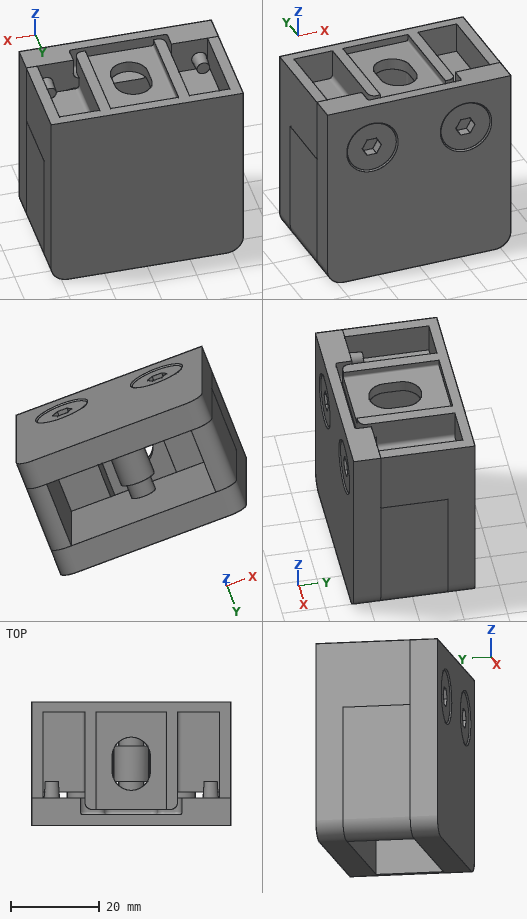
import cadquery as cq


WIDTH = 45.0
DEPTH = 28.0
HEIGHT = 45.0
CORNER_RADIUS = 4.0

COVER_THICKNESS = 6.25
BACK_SLAB = 6.25
GAP_HEIGHT = 30.0
SIDE_WALL = 2.55
SIDE_PLATE_THICKNESS = 5.0
REAR_WALL = 2.35
INNER_HALF_WIDTH = WIDTH / 2 - SIDE_WALL
SLAB_FRONT_Y = DEPTH - BACK_SLAB
POCKET_BACK_Y = DEPTH - REAR_WALL
BLOCK_FRONT_Y = 7.6

POCKET_DEPTH = 7.2
POCKET_FLOOR_Z = HEIGHT - POCKET_DEPTH
POCKET_FILLET = 1.0

TONGUE_HALF_WIDTH = 10.5
TONGUE_FRONT_Y = 3.65
TONGUE_CORNER = 1.65
CHANNEL_HALF_WIDTH = 7.95
CHANNEL_DEPTH = 1.65
CHANNEL_FILLET = 0.45
PLATE_THICKNESS = 2.7
PLATE_TOP_Z = HEIGHT - CHANNEL_DEPTH
PLATE_BOTTOM_Z = PLATE_TOP_Z - PLATE_THICKNESS
CAVITY_FILLET = 0.55
OVAL_WIDTH = 8.55
OVAL_LENGTH = 12.0

RECESS_HALF_WIDTH = 11.48
RECESS_BACK_Y = 2.48
TONGUE_CLEARANCE = 1.0
RECESS_LEDGE_Z = PLATE_BOTTOM_Z - TONGUE_CLEARANCE
RECESS_RADIUS = 1.58
RECESS_STEP_X = 6.0
RECESS_BACK_FILLET = 0.6

PEG_X = 17.95
PEG_BASE_RADIUS = 1.75
PEG_TIP_RADIUS = 1.5
PEG_LENGTH = 3.75
PEG_Z = POCKET_FLOOR_Z + PEG_BASE_RADIUS

SCREW_X = 11.48
SCREW_Z = 33.98
SCREW_RADIUS = 3.0
HEAD_RADIUS = 6.0
HEAD_INSET = 0.3
HEAD_HEIGHT = HEAD_RADIUS - SCREW_RADIUS
SCREW_LENGTH = 20.0
SOCKET_ACROSS_CORNERS = 4.65
SOCKET_DEPTH = 2.25

PIN_RADIUS = 2.9
PIN_Z = 22.5
SLEEVE_RADIUS = 4.0
SLEEVE_LENGTH = 8.1


def box(x0, x1, y0, y1, z0, z1):
    """Box between the given limits."""
    return cq.Workplane("XY").box(x1 - x0, y1 - y0, z1 - z0, centered=False).translate((x0, y0, z0))


def wide_box(half_width, y0, y1, z0, z1):
    """Box symmetric about X = 0."""
    return box(-half_width, half_width, y0, y1, z0, z1)


def rod(radius, y0, y1, z):
    """Cylinder along Y on the symmetry plane."""
    return cq.Workplane("XZ", origin=(0, y0, z)).circle(radius).extrude(y0 - y1)


def turned(half_profile, x, z):
    """Solid turned about an axis along Y from (y, radius) points."""
    return (
        cq.Workplane("YZ", origin=(x, 0, z))
        .polyline(half_profile)
        .close()
        .revolve(360, (0, 0), (1, 0))
    )


def rounded_block(y0, y1):
    """Full-size slab whose two bottom corners are rounded."""
    return wide_box(WIDTH / 2, y0, y1, 0, HEIGHT).edges("|Y and <Z").fillet(CORNER_RADIUS)


def screw_blank(x):
    """Countersunk screw without its socket; also the shape of its hole."""
    neck_y = HEAD_INSET + HEAD_HEIGHT
    tip_y = HEAD_INSET + SCREW_LENGTH
    profile = [
        (HEAD_INSET, 0),
        (HEAD_INSET, HEAD_RADIUS),
        (neck_y, SCREW_RADIUS),
        (tip_y, SCREW_RADIUS),
        (tip_y, 0),
    ]
    return turned(profile, x, SCREW_Z)


def make_screw(x):
    """Countersunk screw with a hexagon socket."""
    socket = (
        cq.Workplane("XZ", origin=(x, HEAD_INSET, SCREW_Z))
        .polygon(6, SOCKET_ACROSS_CORNERS)
        .extrude(-SOCKET_DEPTH)
    )
    return screw_blank(x).cut(socket)


def side_pocket():
    """Open pocket on the +X side, rounded where its floor meets the rib."""
    pocket = box(TONGUE_HALF_WIDTH, INNER_HALF_WIDTH, COVER_THICKNESS, POCKET_BACK_Y, POCKET_FLOOR_Z, HEIGHT)
    return pocket.edges("|Y and <X and <Z").fillet(POCKET_FILLET)


def make_housing():
    """Rear body: back slab below, hollow block with pockets and a tongue above."""
    housing = rounded_block(COVER_THICKNESS, DEPTH)
    housing = housing.cut(wide_box(WIDTH / 2, COVER_THICKNESS, SLAB_FRONT_Y, 0, GAP_HEIGHT))
    housing = housing.cut(wide_box(INNER_HALF_WIDTH, COVER_THICKNESS, BLOCK_FRONT_Y, GAP_HEIGHT, HEIGHT))

    tongue = wide_box(TONGUE_HALF_WIDTH, TONGUE_FRONT_Y, BLOCK_FRONT_Y, PLATE_BOTTOM_Z, HEIGHT)
    housing = housing.union(tongue.edges("|Z and <Y").fillet(TONGUE_CORNER))

    pocket = side_pocket()
    housing = housing.cut(pocket).cut(pocket.mirror("YZ"))

    channel = wide_box(CHANNEL_HALF_WIDTH, TONGUE_FRONT_Y, POCKET_BACK_Y, PLATE_TOP_Z, HEIGHT)
    housing = housing.cut(channel.edges("|Y and <Z").fillet(CHANNEL_FILLET))

    cavity = wide_box(CHANNEL_HALF_WIDTH, TONGUE_FRONT_Y, POCKET_BACK_Y, GAP_HEIGHT, PLATE_BOTTOM_Z)
    housing = housing.cut(cavity.edges("|Z and >Y").fillet(CAVITY_FILLET))

    oval = (
        cq.Workplane("XY", origin=(0, DEPTH / 2, PLATE_BOTTOM_Z))
        .slot2D(OVAL_LENGTH, OVAL_WIDTH, 90)
        .extrude(PLATE_THICKNESS)
    )
    housing = housing.cut(oval)

    for side in (-1, 1):
        housing = housing.cut(screw_blank(side * SCREW_X))
    return housing


def tongue_recess():
    """Recess for the tongue: a ledge on each side, stepping down in an S-curve to a deeper middle."""
    r = RECESS_RADIUS
    middle_x = RECESS_STEP_X - r
    ledge_x = RECESS_STEP_X + r
    wall_x = RECESS_HALF_WIDTH
    ledge_z = RECESS_LEDGE_Z
    step_z = ledge_z - r
    middle_z = step_z - r
    half = (
        cq.Workplane("XZ", origin=(0, COVER_THICKNESS, 0))
        .moveTo(0, middle_z)
        .lineTo(middle_x, middle_z)
        .radiusArc((RECESS_STEP_X, step_z), -r)
        .radiusArc((ledge_x, ledge_z), r)
        .lineTo(wall_x - r, ledge_z)
        .radiusArc((wall_x, ledge_z + r), -r)
        .lineTo(wall_x, HEIGHT)
        .lineTo(0, HEIGHT)
        .close()
        .extrude(COVER_THICKNESS - RECESS_BACK_Y)
    )
    recess = half.union(half.mirror("YZ"))
    back_edges = recess.faces("<Y").edges("not >Z")
    return back_edges.fillet(RECESS_BACK_FILLET)


def countersink(x):
    """Cone that opens the screw head's seat out to the front face."""
    mouth_radius = HEAD_RADIUS + HEAD_INSET
    profile = [(0, 0), (0, mouth_radius), (HEAD_INSET, HEAD_RADIUS), (HEAD_INSET, 0)]
    return turned(profile, x, SCREW_Z)


def peg(x):
    """Tapered locating peg on the rear face of the cover."""
    tip_y = COVER_THICKNESS + PEG_LENGTH
    profile = [
        (COVER_THICKNESS, 0),
        (COVER_THICKNESS, PEG_BASE_RADIUS),
        (tip_y, PEG_TIP_RADIUS),
        (tip_y, 0),
    ]
    return turned(profile, x, PEG_Z)


def make_cover():
    """Front plate with the tongue recess, countersunk holes and pegs."""
    cover = rounded_block(0, COVER_THICKNESS).cut(tongue_recess())
    for side in (-1, 1):
        cover = cover.cut(screw_blank(side * SCREW_X))
        cover = cover.cut(countersink(side * SCREW_X))
        cover = cover.union(peg(side * PEG_X))
    return cover


def make_side_plate(side):
    """Plate closing the end of the glass gap on side -1 or 1, flush with the outer faces."""
    outer_x = side * WIDTH / 2
    inner_x = outer_x - side * SIDE_PLATE_THICKNESS
    x0, x1 = sorted((inner_x, outer_x))
    end_zone = box(x0, x1, COVER_THICKNESS, SLAB_FRONT_Y, 0, GAP_HEIGHT)
    return rounded_block(COVER_THICKNESS, SLAB_FRONT_Y).intersect(end_zone)


def make_pin():
    """Safety pin across the glass gap, from the cover to the back slab."""
    return rod(PIN_RADIUS, COVER_THICKNESS, SLAB_FRONT_Y, PIN_Z)


def make_sleeve():
    """Sleeve around the middle of the safety pin."""
    y0 = (DEPTH - SLEEVE_LENGTH) / 2
    y1 = y0 + SLEEVE_LENGTH
    return rod(SLEEVE_RADIUS, y0, y1, PIN_Z).cut(rod(PIN_RADIUS, y0, y1, PIN_Z))


housing = make_housing()
cover = make_cover()
screws = [make_screw(side * SCREW_X) for side in (-1, 1)]
side_plates = [make_side_plate(side) for side in (-1, 1)]
pin = make_pin()
sleeve = make_sleeve()

result = cq.Compound.makeCompound(
    [
        housing.val(),
        cover.val(),
        *[screw.val() for screw in screws],
        *[plate.val() for plate in side_plates],
        pin.val(),
        sleeve.val(),
    ]
)